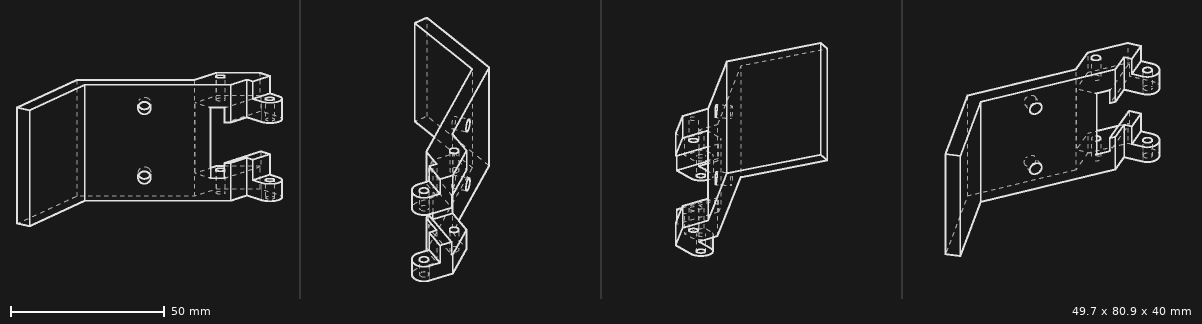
import cadquery as cq
import math

depth = 80.9
height = 40.0
wall = 5.0

plate_tilt = math.radians(10)
bend_y = 33.5
head_left = 27.1
head_right = 39.1
head_chamfer = 10.0
lug_radius = 4.0
lug_center_x = 45.7

lug_gap_left = 41.85
lug_clearance = 6.0
lug_stack = 13.0
window_margin = 7.85
window_front_y = 60.85
window_right = 37.6

pin_diameter = 3.0
head_hole_x = 30.75
head_hole_y = 69.1
screw_diameter = 4.2
screw_y = 49.1
screw_margin = 8.0

margin = 8.1
lug_center_y = depth - lug_radius
lug_front_y = depth - 2 * lug_radius


def box_between(x_range, y_range, z_range):
    """Axis-aligned box spanning three (low, high) ranges."""
    low, high = zip(x_range, y_range, z_range)
    sizes = [end - start for start, end in zip(low, high)]
    return cq.Workplane("XY").box(*sizes, centered=False).translate(low)


def vertical_hole(x, y, diameter):
    return cq.Workplane("XY").center(x, y).circle(diameter / 2).extrude(height)


def make_body():
    """Extrude the bent profile: tilted plate, 45 degree arm, hinge head and lug."""
    plate_end_x = bend_y * math.tan(plate_tilt)
    inner_end_x = plate_end_x + wall * math.cos(plate_tilt)
    inner_end_y = wall * math.sin(plate_tilt)
    inner_offset = bend_y - wall * math.sqrt(2)
    slope = math.tan(plate_tilt)
    inner_bend_x = (inner_end_x + slope * (inner_end_y - inner_offset)) / (1 + slope)
    return (
        cq.Workplane("XY")
        .moveTo(plate_end_x, 0)
        .lineTo(inner_end_x, inner_end_y)
        .lineTo(inner_bend_x, inner_bend_x + inner_offset)
        .lineTo(head_right, head_right + inner_offset)
        .lineTo(head_right, lug_front_y)
        .lineTo(lug_center_x, lug_front_y)
        .threePointArc((lug_center_x + lug_radius, lug_center_y), (lug_center_x, depth))
        .lineTo(head_left + head_chamfer, depth)
        .lineTo(head_left, depth - head_chamfer)
        .lineTo(head_left, bend_y + head_left)
        .lineTo(0, bend_y)
        .close()
        .extrude(height)
    )


def cut_hinge(body):
    """Open the window between the hinge blocks and shorten both lugs from above."""
    y_range = (window_front_y, depth + margin)
    lug_end = lug_center_x + lug_radius + margin
    window = box_between((0, window_right), y_range, (window_margin, height - window_margin))
    gap = box_between((0, lug_end), y_range, (lug_stack, height - lug_stack))
    body = body.cut(window).cut(gap)
    for z_range in ((lug_clearance, lug_stack), (height - lug_clearance, height)):
        body = body.cut(box_between((lug_gap_left, lug_end), y_range, z_range))
    return body


def cut_holes(body):
    """Drill the hinge pin, the head hole and the two screw holes square to the arm."""
    body = body.cut(vertical_hole(lug_center_x, lug_center_y, pin_diameter))
    body = body.cut(vertical_hole(head_hole_x, head_hole_y, pin_diameter))
    for z in (screw_margin, height - screw_margin):
        start = cq.Vector(screw_y - bend_y, screw_y, z)
        direction = cq.Vector(1, -1, 0).normalized()
        screw = cq.Solid.makeCylinder(
            screw_diameter / 2, wall + 2 * margin, start - direction * margin, direction
        )
        body = body.cut(cq.Workplane(screw))
    return body


result = cut_holes(cut_hinge(make_body()))